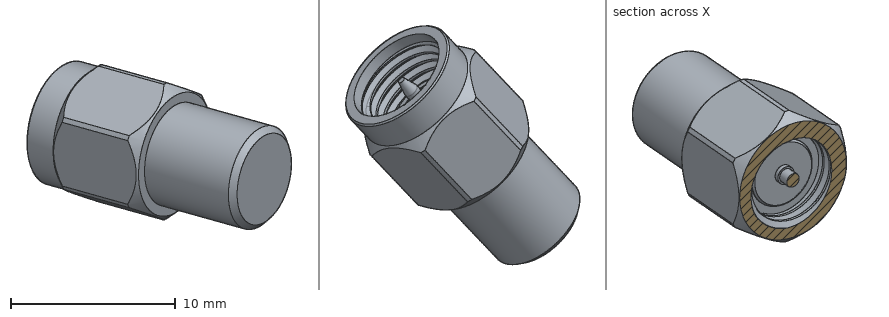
import cadquery as cq
import math

total_length = 15.0

collar_diameter = 7.76
collar_length = 2.02
collar_chamfer = 0.1
hex_across_flats = 7.94
hex_corner_diameter = 8.99
hex_end_x = 8.38
hex_chamfer_length = 0.74

barrel_diameter = 6.5
barrel_chamfer = 0.38

entry_diameter = 6.35
entry_depth = 0.75
lead_in_length = 0.375
crest_diameter = 5.6
root_diameter = 6.34
thread_pitch = 25.4 / 36
thread_half_angle = 30.0
crest_width = thread_pitch / 4
socket_depth = 3.35
groove_start_x = 0.31
groove_end_x = 3.5
groove_overlap = 0.05
thread_start_angle = 200.0

boss_diameter = 4.45
boss_chamfer = 0.13
boss_face_x = 3.15
shoulder_diameter = 1.19
shoulder_length = 0.3
pin_diameter = 0.94
pin_tip_diameter = 0.43
pin_tip_x = 0.5
pin_taper_length = 1.0

overlap = 0.2


def revolve_about_x(points):
    """Revolve an (x, radius) outline about the X axis."""
    return cq.Workplane("XY").polyline(points).close().revolve(360, (0, 0, 0), (1, 0, 0))


def cylinder_along_x(diameter, start_x, end_x):
    return cq.Workplane("YZ").workplane(offset=start_x).circle(diameter / 2).extrude(end_x - start_x)


def hex_nut():
    """Hexagon with rounded corners and conical chamfers at both ends."""
    face_radius = collar_diameter / 2
    corner_radius = hex_corner_diameter / 2
    hexagon = (
        cq.Workplane("YZ")
        .workplane(offset=collar_length)
        .polygon(6, hex_across_flats / math.cos(math.pi / 6))
        .extrude(hex_end_x - collar_length)
        .rotate((0, 0, 0), (1, 0, 0), 30)
    )
    envelope = revolve_about_x([
        (collar_length, 0),
        (collar_length, face_radius),
        (collar_length + hex_chamfer_length, corner_radius),
        (hex_end_x - hex_chamfer_length, corner_radius),
        (hex_end_x, face_radius),
        (hex_end_x, 0),
    ])
    return hexagon.intersect(envelope)


def outer_body():
    collar = cylinder_along_x(collar_diameter, 0, collar_length + overlap)
    collar = collar.faces("<X").chamfer(collar_chamfer)
    barrel = cylinder_along_x(barrel_diameter, hex_end_x - overlap, total_length)
    barrel = barrel.faces(">X").chamfer(barrel_chamfer)
    return hex_nut().union(collar).union(barrel)


def crest_bore():
    """Straight bore at the thread crests."""
    return cylinder_along_x(crest_diameter, 0, socket_depth)


def socket_entry():
    """Plain entry and the conical lead-in that cuts back the first thread turn."""
    lead_in_end_x = entry_depth + lead_in_length
    return revolve_about_x([
        (0, 0),
        (0, entry_diameter / 2),
        (entry_depth, entry_diameter / 2),
        (lead_in_end_x, crest_diameter / 2),
        (lead_in_end_x, 0),
    ])


def helical_solid(profile, start_x, length, start_angle):
    """Right-hand helical solid about X, from a closed profile of (axial offset, radius) corners."""
    helices = [
        cq.Wire.makeHelix(thread_pitch, length, radius, cq.Vector(0, 0, offset))
        for offset, radius in profile
    ]
    sides = [
        cq.Face.makeRuledSurface(helix, next_helix)
        for helix, next_helix in zip(helices, helices[1:] + helices[:1])
    ]
    caps = []
    for advance in (0, length):
        turn = 2 * math.pi * advance / thread_pitch
        corners = [
            cq.Vector(radius * math.cos(turn), radius * math.sin(turn), advance + offset)
            for offset, radius in profile
        ]
        caps.append(cq.Face.makeFromWires(cq.Wire.makePolygon(corners, close=True)))
    solid = cq.Workplane(cq.Solid.makeSolid(cq.Shell.makeShell(sides + caps)))
    solid = solid.rotate((0, 0, 0), (0, 1, 0), 90).translate((start_x, 0, 0))
    return solid.rotate((0, 0, 0), (1, 0, 0), start_angle)


def thread_groove():
    """Truncated V groove that leaves narrow crests in the bore."""
    crest_radius = crest_diameter / 2
    root_radius = root_diameter / 2
    inner_radius = crest_radius - groove_overlap
    flank_slope = math.tan(math.radians(thread_half_angle))
    crest_half_width = (thread_pitch - crest_width) / 2
    root_half_width = crest_half_width - (root_radius - crest_radius) * flank_slope
    inner_half_width = crest_half_width + groove_overlap * flank_slope
    profile = [
        (-inner_half_width, inner_radius),
        (-root_half_width, root_radius),
        (root_half_width, root_radius),
        (inner_half_width, inner_radius),
    ]
    return helical_solid(profile, groove_start_x, groove_end_x - groove_start_x, thread_start_angle)


def dielectric_boss():
    boss = cylinder_along_x(boss_diameter, boss_face_x, socket_depth + overlap)
    return boss.faces("<X").chamfer(boss_chamfer)


def centre_pin():
    shoulder_x = boss_face_x - shoulder_length
    taper_end_x = pin_tip_x + pin_taper_length
    base_x = boss_face_x + overlap
    return revolve_about_x([
        (pin_tip_x, 0),
        (pin_tip_x, pin_tip_diameter / 2),
        (taper_end_x, pin_diameter / 2),
        (shoulder_x, pin_diameter / 2),
        (shoulder_x, shoulder_diameter / 2),
        (base_x, shoulder_diameter / 2),
        (base_x, 0),
    ])


body = outer_body().cut(crest_bore()).cut(thread_groove()).cut(socket_entry())
result = body.union(dielectric_boss()).union(centre_pin())